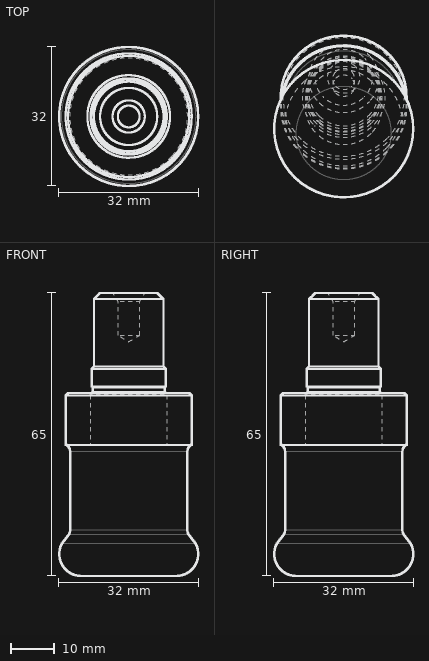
import cadquery as cq
import math

total_height = 65.0
sleeve_top = 42.05

flange_radius = 29.0 / 2
flange_chamfer = 0.6
flange_bottom = 30.1
grip_radius = 27.0 / 2
undercut_radius = 14.3
undercut_height = 1.55
grip_bottom = 10.5
rim_radius = 32.0 / 2
rim_round = 5.1
rim_upper_radius = 30.8 / 2
neck_radius = 13.8
neck_level = 9.55
mouth_radius = 19.0 / 2
bore_radius = 17.55 / 2
mouth_depth = 0.25

tip_radius = 16.0 / 2
tip_chamfer = 1.4
collar_radius = 17.0 / 2
collar_top = 48.1
collar_bottom = 43.55
collar_chamfer = collar_radius - tip_radius
relief_radius = 16.6 / 2
relief_step = collar_radius - relief_radius
shank_top = sleeve_top - mouth_depth
relief_bottom = shank_top + bore_radius - relief_radius
pin_bottom = flange_bottom

hole_radius = 5.0 / 2
countersink_radius = 7.4 / 2
countersink_depth = 1.95
hole_depth = 9.75
drill_half_angle = math.radians(59)


def arc_middle_from_vertical(start, end):
    """Middle point of an arc that leaves start vertically and passes through end."""
    width = end[0] - start[0]
    height = end[1] - start[1]
    radius = (width**2 + height**2) / (2 * width)
    half_sweep = math.atan2(abs(width), abs(height))
    rise = math.copysign(radius * math.sin(half_sweep), height)
    return (start[0] + radius * (1 - math.cos(half_sweep)), start[1] + rise)


def revolve_profile(profile):
    """Turn a closed (radius, height) profile about the Z axis."""
    return profile.close().revolve(360, (0, 0, 0), (0, 1, 0))


def make_sleeve():
    rim_centre = rim_radius - rim_round
    rim_upper_level = rim_round + math.sqrt(rim_round**2 - (rim_upper_radius - rim_centre) ** 2)
    grip_low = (grip_radius, grip_bottom)
    neck_end = (neck_radius, neck_level)
    grip_high = (grip_radius, flange_bottom - undercut_height)
    undercut_end = (undercut_radius, flange_bottom)
    profile = (
        cq.Workplane("XZ")
        .moveTo(0, 0)
        .lineTo(rim_centre, 0)
        .threePointArc((rim_radius, rim_round), (rim_upper_radius, rim_upper_level))
        .lineTo(*neck_end)
        .threePointArc(arc_middle_from_vertical(grip_low, neck_end), grip_low)
        .lineTo(*grip_high)
        .threePointArc(arc_middle_from_vertical(grip_high, undercut_end), undercut_end)
        .lineTo(flange_radius, flange_bottom)
        .lineTo(flange_radius, sleeve_top - flange_chamfer)
        .lineTo(flange_radius - flange_chamfer, sleeve_top)
        .lineTo(mouth_radius, sleeve_top)
        .lineTo(bore_radius, sleeve_top - mouth_depth)
        .lineTo(bore_radius, pin_bottom)
        .lineTo(0, pin_bottom)
    )
    return revolve_profile(profile)


def make_pin():
    hole_bottom = total_height - hole_depth
    drill_point = hole_radius / math.tan(drill_half_angle)
    profile = (
        cq.Workplane("XZ")
        .moveTo(0, pin_bottom)
        .lineTo(bore_radius, pin_bottom)
        .lineTo(bore_radius, shank_top)
        .lineTo(relief_radius, relief_bottom)
        .lineTo(relief_radius, collar_bottom - relief_step)
        .lineTo(collar_radius, collar_bottom)
        .lineTo(collar_radius, collar_top - collar_chamfer)
        .lineTo(tip_radius, collar_top)
        .lineTo(tip_radius, total_height - tip_chamfer)
        .lineTo(tip_radius - tip_chamfer, total_height)
        .lineTo(countersink_radius, total_height)
        .lineTo(hole_radius, total_height - countersink_depth)
        .lineTo(hole_radius, hole_bottom)
        .lineTo(0, hole_bottom - drill_point)
    )
    return revolve_profile(profile)


sleeve = make_sleeve()
pin = make_pin()
result = cq.Compound.makeCompound([sleeve.val(), pin.val()])